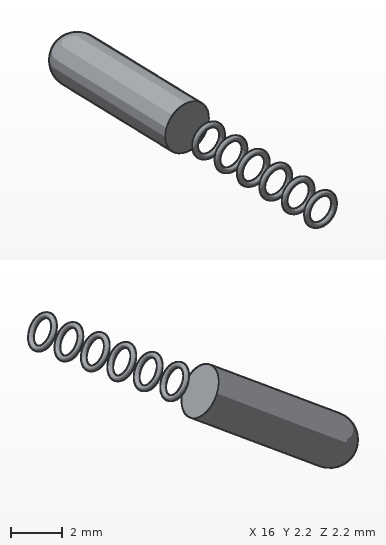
import cadquery as cq

overall_length = 16.0
pin_diameter = 2.2
pin_length = 7.78
ring_outer_diameter = 1.6
ring_wire_diameter = 0.24
ring_pitch = 1.36
ring_count = 6

pin_radius = pin_diameter / 2
ring_wire_radius = ring_wire_diameter / 2
ring_centreline_radius = ring_outer_diameter / 2 - ring_wire_radius
last_ring_x = overall_length - ring_wire_radius
first_ring_x = last_ring_x - (ring_count - 1) * ring_pitch


def make_pin():
    """Solid pin with a hemispherical nose at X = 0 and a flat end at +X."""
    half_profile = (
        cq.Workplane("XY")
        .moveTo(0, 0)
        .radiusArc((pin_radius, pin_radius), pin_radius)
        .lineTo(pin_length, pin_radius)
        .lineTo(pin_length, 0)
        .close()
    )
    return half_profile.revolve(360, (0, 0), (1, 0))


def make_ring(centre_x):
    """Round-section ring around the X axis, centred at centre_x."""
    return cq.Solid.makeTorus(
        ring_centreline_radius,
        ring_wire_radius,
        cq.Vector(centre_x, 0, 0),
        cq.Vector(1, 0, 0),
    )


pin = make_pin()
rings = []
for index in range(ring_count):
    rings.append(make_ring(first_ring_x + index * ring_pitch))

result = cq.Compound.makeCompound([pin.val(), *rings])